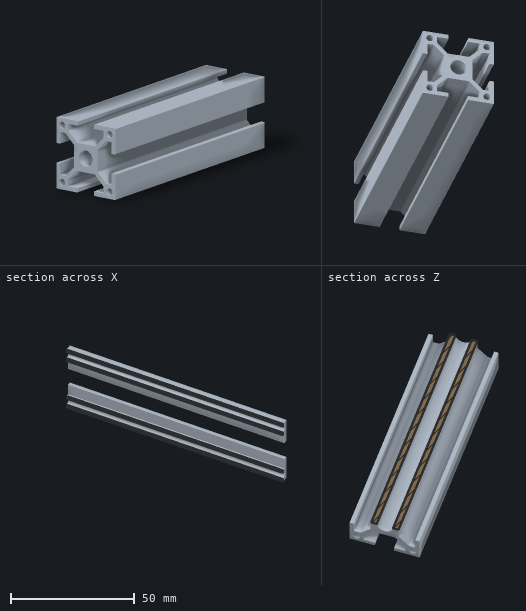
import cadquery as cq
import math

width = 30.0
length = 100.0
slot_opening = 8.2
lip_thickness = 1.9
corner_block = 6.0
core_width = 11.8
web_thickness = 1.9
web_rounding = 1.0
lip_rounding = 0.4
corner_rounding = 0.3
core_bore = 6.8
corner_bore = 3.0
corner_bore_offset = 12.0

half_width = width / 2
half_opening = slot_opening / 2
lip_inner = half_width - lip_thickness
half_cavity = half_width - corner_block
half_core = core_width / 2
web_offset = web_thickness / math.sqrt(2)
edge_margin = 0.1


def slot():
    """T-slot cutter in the top face, with rounded corners where it meets the webs."""
    right_side = [
        (half_opening, half_width),
        (half_opening, lip_inner),
        (half_cavity, lip_inner),
        (half_cavity, half_cavity + web_offset),
        (half_core - web_offset, half_core),
    ]
    left_side = [(-x, z) for x, z in reversed(right_side)]
    cutter = (
        cq.Workplane("XZ")
        .polyline(right_side + left_side)
        .close()
        .extrude(length / 2, both=True)
    )
    web_corners = cq.selectors.BoxSelector(
        (-width, -length, half_core - edge_margin),
        (width, length, half_cavity + web_offset + edge_margin),
    )
    return cutter.edges("|Y").edges(web_corners).fillet(web_rounding)


def bores():
    """Central bore and four corner bores, all through the full length."""
    corners = [
        (x, z)
        for x in (-corner_bore_offset, corner_bore_offset)
        for z in (-corner_bore_offset, corner_bore_offset)
    ]
    center = cq.Workplane("XZ").circle(core_bore / 2).extrude(length / 2, both=True)
    corner = (
        cq.Workplane("XZ")
        .pushPoints(corners)
        .circle(corner_bore / 2)
        .extrude(length / 2, both=True)
    )
    return center.union(corner)


profile = cq.Workplane("XY").box(width, length, width).edges("|Y").fillet(corner_rounding)
for angle in (0, 90, 180, 270):
    profile = profile.cut(slot().rotate((0, 0, 0), (0, 1, 0), angle))

lip_edges = [
    (side * half_opening, 0, face * half_width) for side in (-1, 1) for face in (-1, 1)
]
lip_edges += [(z, y, x) for x, y, z in lip_edges]
for point in lip_edges:
    profile = profile.edges(cq.selectors.NearestToPointSelector(point)).fillet(lip_rounding)

result = profile.cut(bores())